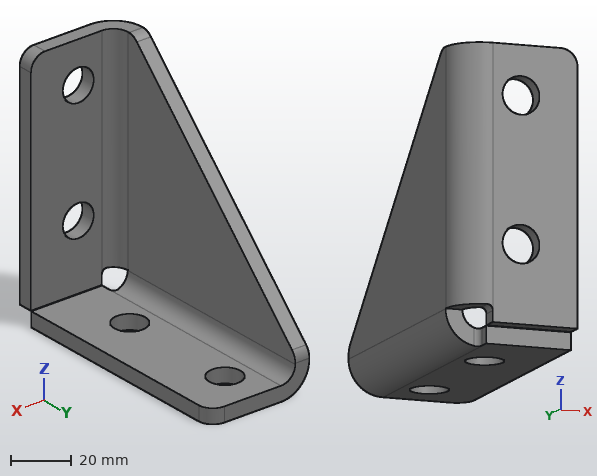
import cadquery as cq
import math

width = 42.0
length = 100.0
thickness = 6.0
inner_bend_radius = 6.0
bend_radius = inner_bend_radius + thickness
corner_radius = 6.0
relief_radius = 2.0
web_tip_width = 15.0
flange_clearance = 0.05

hole_diameter = 13.0
hole_x = 22.0
hole_heights = (33.0, 83.0)


def make_web():
    """Flat triangular plate between the two bends, with rounded tips."""
    outline = [
        (bend_radius, bend_radius),
        (length, bend_radius),
        (length, web_tip_width),
        (web_tip_width, length),
        (bend_radius, length),
    ]
    web = cq.Workplane("YZ").polyline(outline).close().extrude(thickness)
    slope = web.faces(cq.selectors.DirectionMinMaxSelector(cq.Vector(0, 1, 1)))
    return slope.edges("|X").fillet(corner_radius)


def make_upright_flange():
    """Bend and flange, with a rounded free corner, corner relief and holes."""
    bottom = thickness + flange_clearance
    diagonal = math.sqrt(0.5)
    outer_mid = bend_radius * (1 - diagonal)
    inner_mid = bend_radius - inner_bend_radius * diagonal
    flange = (
        cq.Workplane("XY", origin=(0, 0, bottom))
        .moveTo(0, bend_radius)
        .threePointArc((outer_mid, outer_mid), (bend_radius, 0))
        .lineTo(width, 0)
        .lineTo(width, thickness)
        .lineTo(bend_radius, thickness)
        .threePointArc((inner_mid, inner_mid), (thickness, bend_radius))
        .close()
        .extrude(length - bottom)
    )
    flange = flange.edges("|Y and >X and >Z").fillet(corner_radius)

    relief = (
        cq.Workplane("XY")
        .box(bend_radius, bend_radius, bend_radius, centered=False)
        .edges("|Y and >X and >Z")
        .fillet(relief_radius)
    )
    holes = (
        cq.Workplane("XZ")
        .pushPoints([(hole_x, height) for height in hole_heights])
        .circle(hole_diameter / 2)
        .extrude(-thickness)
    )
    return flange.cut(relief).cut(holes)


upright_flange = make_upright_flange()
flat_flange = upright_flange.mirror(cq.Vector(0, 1, -1))

result = make_web().union(upright_flange).union(flat_flange)